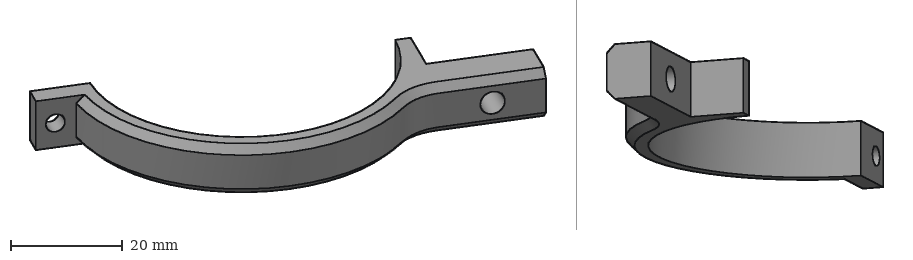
import cadquery as cq
import math

width = 32.3
length = 91.0
height = 10.0

inner_radius = 28.5
band_thickness = 4.0
outer_radius = inner_radius + band_thickness
left_end = outer_radius - width
top_end = 51.3
bottom_end = top_end - length

tab_length = 19.9
tab_left = left_end + 10.1
tab_width = 8.5
tab_right = tab_left + tab_width
ledge_top = top_end - tab_length
tab_hole_diameter = 4.55
tab_hole_y = top_end - tab_length / 2

blend_radius = 10.0
edge_chamfer = 1.55

foot_left = left_end + 0.5
foot_thickness = 3.9
foot_right = foot_left + foot_thickness
foot_middle = (foot_left + foot_right) / 2
foot_hole_diameter = 3.55
foot_hole_y = bottom_end + 3.6

touch_tolerance = 0.001


def on_circle(radius, x):
    """Height above the ring centre of a circle point at the given x."""
    return math.sqrt(radius**2 - x**2)


def make_band():
    """Ring, ledge and upper tab, with the outer edges chamfered."""
    blend_x = tab_right + blend_radius
    blend_y = on_circle(outer_radius + blend_radius, blend_x)
    touch_scale = outer_radius / (outer_radius + blend_radius)
    touch = (blend_x * touch_scale, blend_y * touch_scale)
    blend_angle = math.pi + math.atan2(blend_y, blend_x) / 2
    blend_middle = (
        blend_x + blend_radius * math.cos(blend_angle),
        blend_y + blend_radius * math.sin(blend_angle),
    )
    band = (
        cq.Workplane("XY")
        .moveTo(left_end, ledge_top)
        .lineTo(tab_left, ledge_top)
        .lineTo(tab_left, top_end)
        .lineTo(tab_right, top_end)
        .lineTo(tab_right, blend_y)
        .threePointArc(blend_middle, touch)
        .threePointArc((outer_radius, 0), (foot_left, -on_circle(outer_radius, foot_left)))
        .lineTo(foot_left, -on_circle(inner_radius, foot_left))
        .threePointArc((inner_radius, 0), (left_end, on_circle(inner_radius, left_end)))
        .close()
        .extrude(height)
    )
    rim_points = (
        (tab_right, (top_end + blend_y) / 2),
        blend_middle,
        (outer_radius, 0),
    )
    return chamfer_rim(band, rim_points)


def chamfer_rim(band, rim_points):
    """Chamfer the top and bottom edges that pass through the given points."""
    rim_edges = [
        edge
        for edge in band.faces("<Z or >Z").edges().vals()
        for x, y in rim_points
        if edge.distance(cq.Vertex.makeVertex(x, y, edge.Center().z)) < touch_tolerance
    ]
    return band.newObject(rim_edges).chamfer(edge_chamfer)


def make_foot():
    """Flat foot that hangs from the lower end of the ring."""
    foot_top = -on_circle(inner_radius, foot_right)
    return (
        cq.Workplane("XY")
        .moveTo(foot_left, bottom_end)
        .lineTo(foot_right, bottom_end)
        .lineTo(foot_right, foot_top)
        .threePointArc(
            (foot_middle, -on_circle(inner_radius, foot_middle)),
            (foot_left, -on_circle(inner_radius, foot_left)),
        )
        .close()
        .extrude(height)
    )


def make_hole(diameter, y):
    """Cutter along X at mid height, long enough to pass through the whole part."""
    return (
        cq.Workplane("YZ")
        .center(y, height / 2)
        .circle(diameter / 2)
        .extrude(2 * width)
    )


result = (
    make_band()
    .union(make_foot())
    .cut(make_hole(tab_hole_diameter, tab_hole_y))
    .cut(make_hole(foot_hole_diameter, foot_hole_y))
)